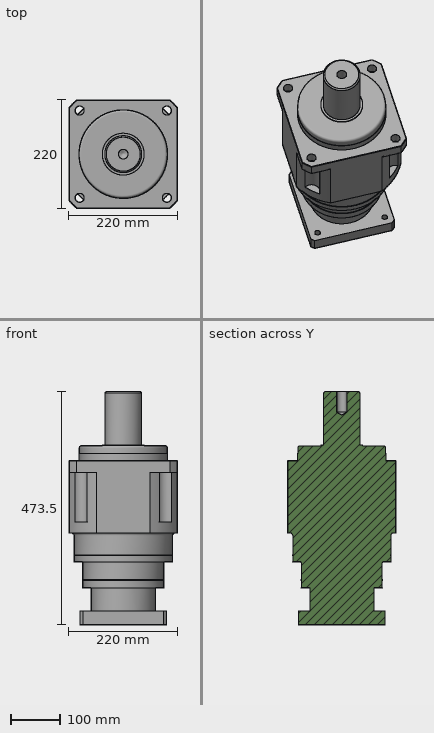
import cadquery as cq
import math


motor_plate_top = 28.5
neck_top = 75.0
rear_ring_top = 128.0
front_ring_top = 186.0
body_flange_top = 209.0
mount_flange_bottom = 309.0
mount_flange_top = 333.0
pilot_fit_top = 348.0
pilot_top = 363.5
collar_top = 365.0
shaft_top = 473.5

neck_radius = 65.5
rear_ring_radius = 82.5
front_ring_radius = 100.0
pilot_fit_radius = 90.0
pilot_radius = 89.5
collar_radius = 42.5
shaft_radius = 37.5

neck_root_fillet = 1.0
rear_ring_root_fillet = 3.0
front_ring_root_fillet = 5.0
pilot_fillet = 5.0
mount_flange_chamfer = 1.0
shaft_chamfer = 3.0

groove_width = 1.2
groove_depth = 0.5
rear_groove_height = 91.0
front_groove_height = 141.0

motor_plate_side = 176.0
motor_plate_corner_radius = 120.0
body_side = 220.0
body_corner_radius = 122.5
mount_flange_corner_radius = 145.0

motor_bolt_circle_radius = 100.0
motor_hole_radius = 5.5
mount_bolt_circle_radius = 125.0
mount_hole_radius = 9.0
bolt_relief_radius = 17.5

centre_hole_radius = 9.75
centre_hole_depth = 42.0
drill_point_angle = 120.0


def cylinder(radius, bottom, top):
    return cq.Workplane("XY").workplane(offset=bottom).circle(radius).extrude(top - bottom)


def rounded_square(side, corner_radius, bottom, top):
    """Square prism with its corners turned down to corner_radius about the axis."""
    square = cq.Workplane("XY").workplane(offset=bottom).rect(side, side).extrude(top - bottom)
    return square.intersect(cylinder(corner_radius, bottom, top))


def diagonal_cylinders(circle_radius, radius, bottom, top):
    """Four vertical cylinders, one on each diagonal."""
    return (
        cq.Workplane("XY")
        .workplane(offset=bottom)
        .polarArray(circle_radius, 45, 360, 4)
        .circle(radius)
        .extrude(top - bottom)
    )


def root_fillet(radius, shoulder_height, fillet):
    """Concave ring filling the corner between a cylinder and the shoulder above it."""
    centre_x = radius + fillet
    centre_z = shoulder_height - fillet
    arc_offset = fillet * math.sqrt(0.5)
    return (
        cq.Workplane("XZ")
        .moveTo(0, centre_z)
        .lineTo(radius, centre_z)
        .threePointArc((centre_x - arc_offset, centre_z + arc_offset), (centre_x, shoulder_height))
        .lineTo(0, shoulder_height)
        .close()
        .revolve(360, (0, 0, 0), (0, 1, 0))
    )


def groove(outer_radius, centre_height):
    bottom = centre_height - groove_width / 2
    top = centre_height + groove_width / 2
    outside = cylinder(outer_radius + groove_depth, bottom, top)
    return outside.cut(cylinder(outer_radius - groove_depth, bottom, top))


def make_motor_plate():
    plate = rounded_square(motor_plate_side, motor_plate_corner_radius, 0, motor_plate_top)
    holes = diagonal_cylinders(motor_bolt_circle_radius, motor_hole_radius, 0, motor_plate_top)
    return plate.cut(holes)


def make_rear_housing():
    """Stepped cylinders between the motor plate and the square body."""
    neck = cylinder(neck_radius, motor_plate_top, neck_top)
    rear_ring = cylinder(rear_ring_radius, neck_top, rear_ring_top)
    front_ring = cylinder(front_ring_radius, rear_ring_top, front_ring_top)
    return (
        neck.union(rear_ring)
        .union(front_ring)
        .union(root_fillet(neck_radius, neck_top, neck_root_fillet))
        .union(root_fillet(rear_ring_radius, rear_ring_top, rear_ring_root_fillet))
        .union(root_fillet(front_ring_radius, front_ring_top, front_ring_root_fillet))
        .cut(groove(rear_ring_radius, rear_groove_height))
        .cut(groove(front_ring_radius, front_groove_height))
    )


def make_body():
    """Square body with bolt reliefs in its corners, below the drilled mounting flange."""
    body = rounded_square(body_side, body_corner_radius, front_ring_top, mount_flange_bottom)
    reliefs = diagonal_cylinders(
        mount_bolt_circle_radius, bolt_relief_radius, body_flange_top, mount_flange_bottom
    )
    flange = rounded_square(
        body_side, mount_flange_corner_radius, mount_flange_bottom, mount_flange_top
    )
    flange = flange.faces(">Z").edges().chamfer(mount_flange_chamfer)
    holes = diagonal_cylinders(
        mount_bolt_circle_radius, mount_hole_radius, mount_flange_bottom, mount_flange_top
    )
    return body.cut(reliefs).union(flange.cut(holes))


def make_pilot():
    """Centring boss on the mounting flange, with the small collar around the shaft."""
    fit = cylinder(pilot_fit_radius, mount_flange_top, pilot_fit_top)
    nose = cylinder(pilot_radius, pilot_fit_top, pilot_top).faces(">Z").edges().fillet(pilot_fillet)
    return fit.union(nose).union(cylinder(collar_radius, pilot_top, collar_top))


def make_shaft():
    shaft = cylinder(shaft_radius, collar_top, shaft_top).faces(">Z").edges().chamfer(shaft_chamfer)
    hole_bottom = shaft_top - centre_hole_depth
    point_depth = centre_hole_radius / math.tan(math.radians(drill_point_angle / 2))
    centre_hole = (
        cq.Workplane("XZ")
        .moveTo(0, shaft_top)
        .lineTo(centre_hole_radius, shaft_top)
        .lineTo(centre_hole_radius, hole_bottom)
        .lineTo(0, hole_bottom - point_depth)
        .close()
        .revolve(360, (0, 0, 0), (0, 1, 0))
    )
    return shaft.cut(centre_hole)


result = (
    make_motor_plate()
    .union(make_rear_housing())
    .union(make_body())
    .union(make_pilot())
    .union(make_shaft())
)